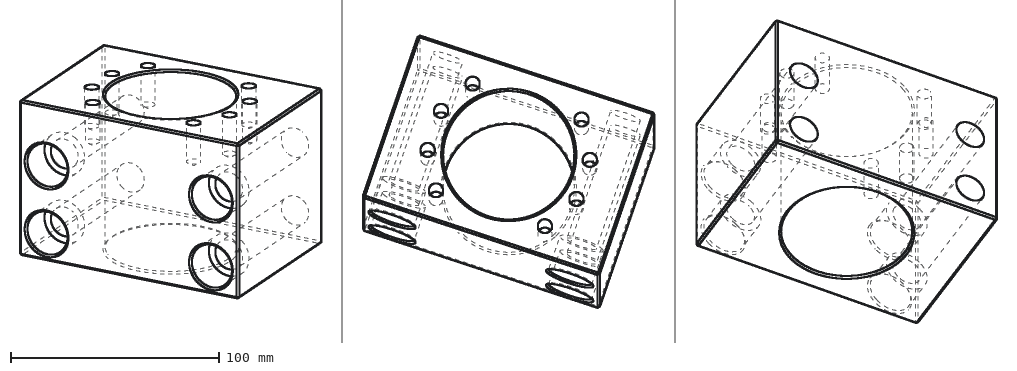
import cadquery as cq
import math

LENGTH = 120.0
WIDTH = 84.0
HEIGHT = 80.0
EDGE_CHAMFER = 1.0

BORE_DIAMETER = 63.0
BORE_CHAMFER = 1.0

DRILL_CIRCLE_RADIUS = 39.0
DRILL_DIAMETER = 6.8
DRILL_DEPTH = 20.0
DRILL_TIP_ANGLE = 118.0
DRILL_ANGLES = [side + offset for side in (0, 180) for offset in (-45, -15, 15, 45)]

BOLT_SPACING_X = 90.0
BOLT_SPACING_Z = 35.0
LOWER_BOLT_HEIGHT = 14.0
BOLT_DIAMETER = 15.0
COUNTERBORE_DIAMETER = 22.0
COUNTERBORE_DEPTH = 18.0
COUNTERBORE_CHAMFER = 1.0


def make_block():
    block = cq.Workplane("XY").box(LENGTH, WIDTH, HEIGHT, centered=(True, True, False))
    return block.edges().chamfer(EDGE_CHAMFER)


def revolve_profile(points):
    """Solid of revolution about Z from (radius, height) points."""
    return cq.Workplane("XZ").polyline(points).close().revolve(360, (0, 0), (0, 1))


def make_bore():
    """Through bore with a chamfer at both ends."""
    radius = BORE_DIAMETER / 2
    mouth_radius = radius + BORE_CHAMFER
    return revolve_profile([
        (0, 0),
        (mouth_radius, 0),
        (radius, BORE_CHAMFER),
        (radius, HEIGHT - BORE_CHAMFER),
        (mouth_radius, HEIGHT),
        (0, HEIGHT),
    ])


def make_drilled_hole():
    """Blind hole with a conical tip, its mouth at Z = 0."""
    radius = DRILL_DIAMETER / 2
    tip_length = radius / math.tan(math.radians(DRILL_TIP_ANGLE / 2))
    return revolve_profile([
        (0, 0),
        (radius, 0),
        (radius, -DRILL_DEPTH),
        (0, -DRILL_DEPTH - tip_length),
    ])


def make_bolt_hole():
    """Counterbored through hole along Y, its mouth at Y = 0."""
    bolt_radius = BOLT_DIAMETER / 2
    head_radius = COUNTERBORE_DIAMETER / 2
    hole = revolve_profile([
        (0, 0),
        (head_radius + COUNTERBORE_CHAMFER, 0),
        (head_radius, -COUNTERBORE_CHAMFER),
        (head_radius, -COUNTERBORE_DEPTH),
        (bolt_radius, -COUNTERBORE_DEPTH),
        (bolt_radius, -WIDTH),
        (0, -WIDTH),
    ])
    return hole.rotate((0, 0, 0), (1, 0, 0), 90)


result = make_block().cut(make_bore())

drilled_hole = make_drilled_hole().translate((DRILL_CIRCLE_RADIUS, 0, HEIGHT))
for angle in DRILL_ANGLES:
    result = result.cut(drilled_hole.rotate((0, 0, 0), (0, 0, 1), angle))

bolt_hole = make_bolt_hole()
for x in (-BOLT_SPACING_X / 2, BOLT_SPACING_X / 2):
    for z in (LOWER_BOLT_HEIGHT, LOWER_BOLT_HEIGHT + BOLT_SPACING_Z):
        result = result.cut(bolt_hole.translate((x, -WIDTH / 2, z)))